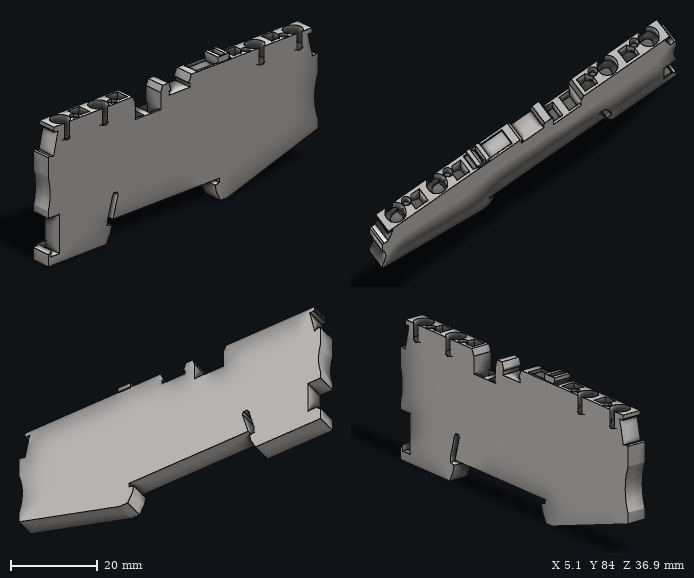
import cadquery as cq
import math

THICKNESS = 5.1
LENGTH = 84.0
BODY_TOP = 35.3
OVERALL_HEIGHT = 36.9
HALF_LENGTH = LENGTH / 2

LIP_Y = 40.2
LIP_NOSE_Y = 40.4
LIP_NOSE_Z = 34.3
LIP_UNDERSIDE_Y = 40.1
LIP_BOTTOM_Z = 33.9
GROOVE_TOP_Y = 39.0
GROOVE_BOTTOM_Y = 40.3
GROOVE_BOTTOM_Z = 27.9
LEDGE_CREST_Y = 41.5
LEDGE_CREST_Z = 28.2
END_FACE_TOP_Z = 28.05
RECESS_TOP_Z = 22.9
REAR_RECESS_BOTTOM_Z = 11.5
REAR_RECESS_DEPTH = 1.0
FRONT_RECESS_BOTTOM_Z = 14.3
FRONT_RECESS_DEPTH = 0.6

REAR_CORNER_Z = 8.8
RAIL_SEAT_Z = 5.8
HOOK_TOP_Z = 4.8
HOOK_TIP_Z = 4.45
HOOK_FLANK_Z = 2.6
FOOT_NOTCH_Y = -38.5
FOOT_NOTCH_TOP_Z = 12.4
FOOT_NOTCH_BOTTOM_Z = 4.0
FOOT_NOSE_RADIUS = 0.8
FOOT_POCKET_DEPTH = 1.7
FOOT_POCKET_WALL = 0.3

CHANNEL_REAR_Y = -7.0
CHANNEL_FRONT_Y = -14.9
CHANNEL_FLOOR_Z = 29.2
CHANNEL_LEAD_IN_Z = 33.6

SNAP_FRONT_Y = -4.2
SNAP_REAR_Y = 2.2
SNAP_FLOOR_Z = 32.1
SNAP_UNDERCUT_Z = 33.0

POCKET_WIDTH = 3.95

BRIDGE_POCKET_LENGTH = 3.0
BRIDGE_POCKET_DEPTH = 5.0

MARKER_POCKET_REAR_Y = 15.45
MARKER_POCKET_FRONT_Y = 4.5
MARKER_POCKET_DEPTH = 0.8
BUTTON_WIDTH = 4.7
BUTTON_REAR_Y = 14.6
BUTTON_FRONT_Y = 11.0
BUTTON_UNDERCUT = 0.3
BUTTON_UNDERCUT_HEIGHT = 0.7
BUTTON_SLOT_REAR_Y = 13.6
BUTTON_SLOT_FRONT_Y = 12.0
BUTTON_SLOT_FLOOR_WIDTH = 0.25
BUTTON_SLOT_DEPTH = 3.9

TERMINAL_YS = (36.2, 24.4, -24.4, -36.2)
FUNNEL_X = 0.25
FUNNEL_RADIUS = 2.4
FUNNEL_STRAIGHT_DEPTH = 4.2
FUNNEL_DEPTH = 6.3
FUNNEL_END_RADIUS = 1.5
FUNNEL_END_OFFSET = 0.4
FUNNEL_SEAT_HALF_WIDTH = 1.5
FUNNEL_SEAT_REACH = 1.7
FUNNEL_BEVEL_REACH = 2.35
FUNNEL_BEVEL_HEIGHT = 0.3
TEST_HOLE_X = 1.05
TEST_HOLE_OFFSET = 3.6
TEST_HOLE_RADIUS = 1.1
TEST_HOLE_DEPTH = 4.2
TEST_HOLE_STEP_X = 0.63
TEST_HOLE_STEP_DEPTH = 3.4
RELEASE_LEFT_X = -1.85
RELEASE_RIGHT_X = 1.64
RELEASE_NEAR_OFFSET = 4.3
RELEASE_FAR_OFFSET = 7.8
RELEASE_NEAR_DEPTH = 4.2
RELEASE_FLOOR_ANGLE = 45.0
RELEASE_CORNER_WIDTH = 1.6
RELEASE_CORNER_LENGTH = 1.1

CUT_MARGIN = 0.8


def side_prism(outline, width):
    """Close a Y-Z outline and extrude it equally to both sides of its plane."""
    return outline.close().extrude(width / 2, both=True)


def box_between(x_range, y_range, z_range):
    """Axis-aligned box from (low, high) limits on each axis, in any order."""
    (x0, x1), (y0, y1), (z0, z1) = (sorted(r) for r in (x_range, y_range, z_range))
    return cq.Workplane("XY").box(x1 - x0, y1 - y0, z1 - z0, centered=False).translate((x0, y0, z0))


def cylinder_down(x, y, radius, depth):
    """Cylinder reaching down from the body's top face."""
    return cq.Workplane("XY", origin=(x, y, BODY_TOP)).circle(radius).extrude(-depth)


def end_groove(side):
    """Points of the lip and marker groove, from the top face downwards."""
    points = [
        (LIP_Y, BODY_TOP),
        (LIP_Y, LIP_NOSE_Z),
        (LIP_NOSE_Y, LIP_NOSE_Z),
        (LIP_UNDERSIDE_Y, LIP_BOTTOM_Z),
        (GROOVE_TOP_Y, LIP_BOTTOM_Z),
        (GROOVE_BOTTOM_Y, GROOVE_BOTTOM_Z),
        (LEDGE_CREST_Y, LEDGE_CREST_Z),
        (HALF_LENGTH, END_FACE_TOP_Z),
    ]
    return [(side * y, z) for y, z in points]


def make_body():
    rear_foot = [
        (HALF_LENGTH, REAR_CORNER_Z),
        (13.9, 0),
        (11.7, 0),
        (10.3, HOOK_FLANK_Z),
        (10.0, HOOK_TIP_Z),
        (11.25, HOOK_TOP_Z),
        (11.25, RAIL_SEAT_Z),
    ]
    flex_slot_and_front_foot = [
        (-21.8, RAIL_SEAT_Z),
        (-20.25, 11.8),
        (-20.6, FOOT_NOTCH_TOP_Z),
        (-21.6, FOOT_NOTCH_TOP_Z),
        (-22.0, 11.8),
        (-23.5, 6.05),
        (-23.5, HOOK_TOP_Z),
        (-22.2, HOOK_TIP_Z),
        (-22.6, HOOK_FLANK_Z),
        (-23.85, 0),
        (-HALF_LENGTH, 0),
        (-HALF_LENGTH, FOOT_NOTCH_BOTTOM_Z - FOOT_NOSE_RADIUS),
    ]
    front_foot_notch = [
        (FOOT_NOTCH_Y, FOOT_NOTCH_BOTTOM_Z),
        (FOOT_NOTCH_Y, FOOT_NOTCH_TOP_Z),
        (-HALF_LENGTH, FOOT_NOTCH_TOP_Z),
        (-HALF_LENGTH, FRONT_RECESS_BOTTOM_Z),
    ]
    bridge_channel = [
        (-15.6, BODY_TOP),
        (CHANNEL_FRONT_Y, CHANNEL_LEAD_IN_Z),
        (CHANNEL_FRONT_Y, CHANNEL_FLOOR_Z),
        (CHANNEL_REAR_Y, CHANNEL_FLOOR_Z),
        (CHANNEL_REAR_Y, CHANNEL_LEAD_IN_Z),
        (-6.4, BODY_TOP),
    ]
    snap_channel_front_slope = [
        (-4.45, BODY_TOP),
        (-3.95, 33.8),
    ]
    snap_channel_front_corner = (SNAP_FRONT_Y, SNAP_UNDERCUT_Z)
    snap_channel = [
        (SNAP_FRONT_Y, SNAP_FLOOR_Z),
        (SNAP_REAR_Y, SNAP_FLOOR_Z),
        (SNAP_REAR_Y, SNAP_UNDERCUT_Z),
        (1.7, 33.3),
        (2.6, BODY_TOP),
    ]
    rear_recess_middle = (HALF_LENGTH - REAR_RECESS_DEPTH, (RECESS_TOP_Z + REAR_RECESS_BOTTOM_Z) / 2)
    front_recess_middle = (FRONT_RECESS_DEPTH - HALF_LENGTH, (RECESS_TOP_Z + FRONT_RECESS_BOTTOM_Z) / 2)
    outline = (
        cq.Workplane("YZ")
        .polyline(end_groove(1) + [(HALF_LENGTH, RECESS_TOP_Z)])
        .threePointArc(rear_recess_middle, (HALF_LENGTH, REAR_RECESS_BOTTOM_Z))
        .polyline(rear_foot + flex_slot_and_front_foot, includeCurrent=True)
        .radiusArc((FOOT_NOSE_RADIUS - HALF_LENGTH, FOOT_NOTCH_BOTTOM_Z), -FOOT_NOSE_RADIUS)
        .polyline(front_foot_notch, includeCurrent=True)
        .threePointArc(front_recess_middle, (-HALF_LENGTH, RECESS_TOP_Z))
        .polyline(end_groove(-1)[::-1] + bridge_channel + snap_channel_front_slope, includeCurrent=True)
        .tangentArcPoint(snap_channel_front_corner, relative=False)
        .polyline(snap_channel, includeCurrent=True)
    )
    return side_prism(outline, THICKNESS)


def make_foot_pocket():
    """Hollow in the foot notch floor, open at +X and walled at -X and at the nose."""
    return box_between(
        (FOOT_POCKET_WALL - THICKNESS / 2, THICKNESS / 2),
        (FOOT_NOSE_RADIUS - HALF_LENGTH, FOOT_NOTCH_Y),
        (FOOT_NOTCH_BOTTOM_Z - FOOT_POCKET_DEPTH, FOOT_NOTCH_BOTTOM_Z),
    )


def make_bridge_pockets():
    half_width = POCKET_WIDTH / 2
    z_range = (CHANNEL_FLOOR_Z - BRIDGE_POCKET_DEPTH, CHANNEL_FLOOR_Z)
    rear = (CHANNEL_REAR_Y, CHANNEL_REAR_Y - BRIDGE_POCKET_LENGTH)
    front = (CHANNEL_FRONT_Y, CHANNEL_FRONT_Y + BRIDGE_POCKET_LENGTH)
    x_range = (-half_width, half_width)
    return box_between(x_range, rear, z_range).union(box_between(x_range, front, z_range))


def make_marker_pocket():
    return box_between(
        (-POCKET_WIDTH / 2, POCKET_WIDTH / 2),
        (MARKER_POCKET_FRONT_Y, MARKER_POCKET_REAR_Y),
        (BODY_TOP - MARKER_POCKET_DEPTH, BODY_TOP),
    )


def make_button():
    """Button with an undercut rear edge, rising from the marker pocket floor."""
    floor_z = BODY_TOP - MARKER_POCKET_DEPTH
    base_rear_y = BUTTON_REAR_Y - BUTTON_UNDERCUT
    outline = cq.Workplane("YZ").polyline([
        (BUTTON_FRONT_Y, floor_z),
        (base_rear_y, floor_z),
        (base_rear_y, BODY_TOP),
        (BUTTON_REAR_Y, BODY_TOP + BUTTON_UNDERCUT_HEIGHT),
        (BUTTON_REAR_Y, OVERALL_HEIGHT),
        (BUTTON_FRONT_Y, OVERALL_HEIGHT),
    ])
    return side_prism(outline, BUTTON_WIDTH)


def make_button_slot():
    """Slot whose rear wall slopes down to a narrow flat floor at the front."""
    outline = cq.Workplane("YZ").polyline([
        (BUTTON_SLOT_REAR_Y, OVERALL_HEIGHT),
        (BUTTON_SLOT_FRONT_Y, OVERALL_HEIGHT),
        (BUTTON_SLOT_FRONT_Y, OVERALL_HEIGHT - BUTTON_SLOT_DEPTH),
        (BUTTON_SLOT_FRONT_Y + BUTTON_SLOT_FLOOR_WIDTH, OVERALL_HEIGHT - BUTTON_SLOT_DEPTH),
    ])
    return side_prism(outline, POCKET_WIDTH)


def make_wire_funnel(y, inward):
    """Straight bore narrowing to a small seat, squared off and bevelled on its inward side."""
    cone_length = FUNNEL_DEPTH - FUNNEL_STRAIGHT_DEPTH
    bore = cylinder_down(FUNNEL_X, y, FUNNEL_RADIUS, FUNNEL_STRAIGHT_DEPTH)
    cone = (
        cq.Workplane("XY", origin=(FUNNEL_X, y, BODY_TOP - FUNNEL_STRAIGHT_DEPTH))
        .circle(FUNNEL_RADIUS)
        .workplane(offset=-cone_length)
        .center(0, inward * FUNNEL_END_OFFSET)
        .circle(FUNNEL_END_RADIUS)
        .loft()
    )
    floor_z = BODY_TOP - FUNNEL_DEPTH
    seat_outline = cq.Workplane("YZ", origin=(FUNNEL_X, 0, 0)).polyline([
        (y + inward * FUNNEL_END_OFFSET, BODY_TOP),
        (y + inward * FUNNEL_END_OFFSET, floor_z),
        (y + inward * FUNNEL_SEAT_REACH, floor_z),
        (y + inward * FUNNEL_BEVEL_REACH, floor_z + FUNNEL_BEVEL_HEIGHT),
        (y + inward * FUNNEL_BEVEL_REACH, BODY_TOP),
    ])
    seat = side_prism(seat_outline, FUNNEL_SEAT_HALF_WIDTH * 2)
    seat = seat.intersect(cylinder_down(FUNNEL_X, y, FUNNEL_RADIUS, FUNNEL_DEPTH))
    return bore.union(cone).union(seat)


def make_test_hole(y, inward):
    """Round hole with a shallower step on its -X side."""
    hole_y = y + inward * TEST_HOLE_OFFSET
    hole = cylinder_down(TEST_HOLE_X, hole_y, TEST_HOLE_RADIUS, TEST_HOLE_DEPTH)
    step = box_between(
        (TEST_HOLE_X - TEST_HOLE_RADIUS - CUT_MARGIN, TEST_HOLE_STEP_X),
        (hole_y - TEST_HOLE_RADIUS - CUT_MARGIN, hole_y + TEST_HOLE_RADIUS + CUT_MARGIN),
        (BODY_TOP - TEST_HOLE_DEPTH, BODY_TOP - TEST_HOLE_STEP_DEPTH),
    )
    return hole.cut(step)


def make_release_pocket(y, inward):
    """Tool pocket with a sloping floor and one corner cut off beside the test hole."""
    near_y = y + inward * RELEASE_NEAR_OFFSET
    far_y = y + inward * RELEASE_FAR_OFFSET
    floor_drop = (RELEASE_FAR_OFFSET - RELEASE_NEAR_OFFSET) / math.tan(math.radians(RELEASE_FLOOR_ANGLE))
    near_floor_z = BODY_TOP - RELEASE_NEAR_DEPTH
    far_floor_z = near_floor_z - floor_drop
    pocket = (
        cq.Workplane("YZ", origin=(RELEASE_LEFT_X, 0, 0))
        .polyline([(near_y, BODY_TOP), (far_y, BODY_TOP), (far_y, far_floor_z), (near_y, near_floor_z)])
        .close()
        .extrude(RELEASE_RIGHT_X - RELEASE_LEFT_X)
    )
    corner = (
        cq.Workplane("XY", origin=(0, 0, BODY_TOP))
        .polyline([
            (RELEASE_RIGHT_X, near_y),
            (RELEASE_RIGHT_X - RELEASE_CORNER_WIDTH, near_y),
            (RELEASE_RIGHT_X, near_y + inward * RELEASE_CORNER_LENGTH),
        ])
        .close()
        .extrude(far_floor_z - BODY_TOP)
    )
    return pocket.cut(corner)


result = make_body().cut(make_foot_pocket()).cut(make_bridge_pockets()).cut(make_marker_pocket())
result = result.union(make_button()).cut(make_button_slot())

for terminal_y in TERMINAL_YS:
    inward_sign = -1 if terminal_y > 0 else 1
    result = result.cut(make_wire_funnel(terminal_y, inward_sign))
    result = result.cut(make_test_hole(terminal_y, inward_sign))
    result = result.cut(make_release_pocket(terminal_y, inward_sign))